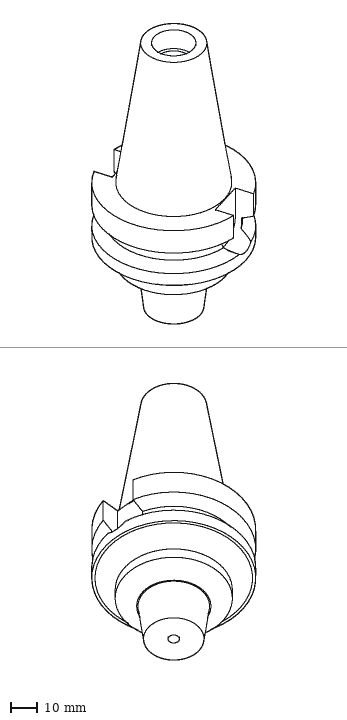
import cadquery as cq

total_height = 125.1
gauge_radius = 22.3
flange_radius = 31.5
groove_radius = 26.5
collar_radius = 22.5
collar_cone_radius = 14.3
nose_top_radius = 13.8
nose_end_radius = 11.6

nose_height = 17.6
collar_bottom = 21.9
collar_top = 26.4
lower_flange_bottom = 32.8
lower_flange_top = 38.4
groove_bottom = 41.2
groove_top = 45.4
upper_flange_bottom = 48.2
upper_flange_top = 58.8
gauge_height = 59.8

taper_on_diameter = 7 / 24
taper_top_radius = gauge_radius - (total_height - gauge_height) * taper_on_diameter / 2
flange_cone_radius = 30.3

slot_width = 16.1
slot_bottom = 36.9
slot_floor_offset = 22.5

mouth_radius = 8.5
mouth_depth = 8.9
thread_radius = 7.0
thread_depth = 30.0
coolant_radius = 2.19


def make_body():
    """Revolve the holder's outer half-profile about Z."""
    profile = [
        (0, 0),
        (nose_end_radius, 0),
        (nose_top_radius, nose_height),
        (collar_cone_radius, nose_height),
        (collar_radius, collar_bottom),
        (collar_radius, collar_top),
        (flange_cone_radius, lower_flange_bottom),
        (flange_radius, lower_flange_bottom),
        (flange_radius, lower_flange_top),
        (groove_radius, groove_bottom),
        (groove_radius, groove_top),
        (flange_radius, upper_flange_bottom),
        (flange_radius, upper_flange_top),
        (gauge_radius, upper_flange_top),
        (gauge_radius, gauge_height),
        (taper_top_radius, total_height),
        (0, total_height),
    ]
    return cq.Workplane("XZ").polyline(profile).close().revolve(360, (0, 0), (0, 1))


def make_drive_slot(side):
    """Round-bottomed slot cutter on the -X (side=-1) or +X (side=1) flank."""
    half_width = slot_width / 2
    arc_center = slot_bottom + half_width
    return (
        cq.Workplane("YZ", origin=(side * slot_floor_offset, 0, 0))
        .moveTo(-half_width, upper_flange_top)
        .lineTo(-half_width, arc_center)
        .threePointArc((0, slot_bottom), (half_width, arc_center))
        .lineTo(half_width, upper_flange_top)
        .close()
        .extrude(side * flange_radius)
    )


def make_bore_step(radius, depth):
    """Cylindrical cutter reaching down from the small end of the taper."""
    return cq.Workplane("XY", origin=(0, 0, total_height)).circle(radius).extrude(-depth)


result = make_body()
for side in (-1, 1):
    result = result.cut(make_drive_slot(side))

bore_steps = [
    (mouth_radius, mouth_depth),
    (thread_radius, thread_depth),
    (coolant_radius, total_height),
]
for radius, depth in bore_steps:
    result = result.cut(make_bore_step(radius, depth))